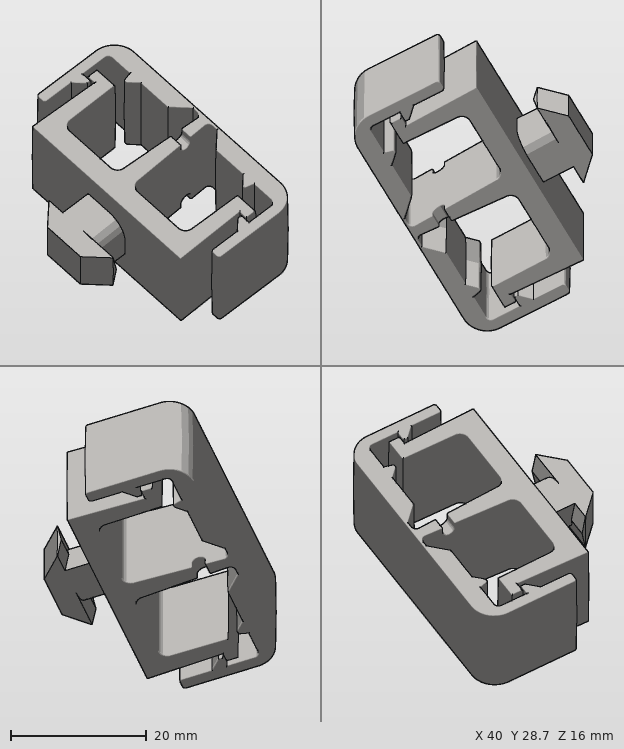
import cadquery as cq
import math

width = 40.0
body_depth = 20.2
half_height = 8.0
draft_angle = 0.5
rim_radius = 0.2

leg_outer_x = width / 2
leg_inner_x = leg_outer_x - 2.0
leg_end_y = 4.2
cap_inner_y = body_depth - 3.2
cap_outer_radius = 4.0
cap_inner_radius = 0.8
leg_end_radius = 0.5

catch_top_y = 11.95
catch_tip_x = 16.3
catch_lip = 0.8
catch_tip_y = catch_top_y - catch_lip
catch_foot_y = catch_tip_y - (leg_inner_x - catch_tip_x)

tooth_root_x = 13.65
tooth_tip_outer_x = 13.25
tooth_tip_inner_x = 12.55
tooth_height = 1.5
tooth_tip_y = cap_inner_y - tooth_height
tooth_foot_x = tooth_tip_inner_x - tooth_height
tooth_tip_radius = 0.3

relief_y = body_depth - 0.6
relief_x = 2.55
relief_foot_x = relief_x + (relief_y - cap_inner_y)

floor_y = 3.6
floor_radius = 1.4
front_corner_radius = 0.1
wall_end_y = 14.0
wall_foot_x = 16.3
wall_neck_x = 15.9
wall_inner_foot_x = 13.1
wall_inner_end_x = 13.3
hook_tip_x = 17.35
hook_y = 12.05
web_foot_x = 1.7
web_end_x = 0.95
web_end_radius = 0.8
trim_margin = 0.8

slot_width = 2.0
slot_depth = 2.0
slot_center_y = 14.9

stud_half_width = 4.0
stud_half_height = 3.5
shank_radius = 3.5
head_end_y = -8.5
head_half_width = 7.05
head_side_draft = 0.1
head_end_half_width = 3.6
head_rim_y = head_end_y + (head_half_width - head_end_half_width)
head_back_y = -4.5
overlap = 0.4


def body_outline():
    """Closed XY outline of the body; the right half is mirrored to the left."""
    wall_slope = (wall_foot_x - wall_neck_x) / hook_y
    right = [
        (wall_foot_x + wall_slope * trim_margin, -trim_margin),
        (wall_neck_x, hook_y),
        (hook_tip_x, hook_y),
        (hook_tip_x, wall_end_y),
        (wall_inner_end_x, wall_end_y),
        (wall_inner_foot_x, floor_y),
        (web_foot_x, floor_y),
        (web_end_x, relief_y),
        (relief_x, relief_y),
        (relief_foot_x, cap_inner_y),
        (tooth_foot_x, cap_inner_y),
        (tooth_tip_inner_x, tooth_tip_y),
        (tooth_tip_outer_x, tooth_tip_y),
        (tooth_root_x, cap_inner_y),
        (leg_inner_x, cap_inner_y),
        (leg_inner_x, catch_top_y),
        (catch_tip_x, catch_top_y),
        (catch_tip_x, catch_tip_y),
        (leg_inner_x, catch_foot_y),
        (leg_inner_x, leg_end_y),
        (leg_outer_x, leg_end_y),
        (leg_outer_x, body_depth),
    ]
    left = [(-x, y) for x, y in reversed(right)]
    return right + left


def flat_face(points):
    """Planar face bounded by a closed polygon."""
    return cq.Face.makeFromWires(cq.Wire.makePolygon(points, close=True))


def drafted_blank():
    """Sharp-cornered upper half: every side leans inward from the parting plane by the draft."""
    inset = half_height * math.tan(math.radians(draft_angle))
    lower = [cq.Vector(x, y) for x, y in body_outline()]
    inset_wire = cq.Wire.makePolygon(lower, close=True).offset2D(-inset, "intersection")[0]
    upper = [cq.Vector(v.X, v.Y, half_height) for v in inset_wire.Vertices()]
    faces = [flat_face(lower), flat_face(upper)]
    for i in range(len(lower)):
        faces.append(flat_face([lower[i - 1], lower[i], upper[i], upper[i - 1]]))
    return cq.Solid.makeSolid(cq.Shell.makeShell(faces))


def round_corners(solid, radius, corners):
    """Round the upright edges at the given XY corners and at their mirror images."""
    reach = 0.2
    for x, y in corners:
        for side in (-1, 1):
            box = cq.selectors.BoxSelector(
                (side * x - reach, y - reach, 0),
                (side * x + reach, y + reach, half_height),
            )
            solid = solid.edges(box).edges("not #Z").fillet(radius)
    return solid


def web_slot():
    """Round-bottomed slot cutter crossing the web along X, open at the top."""
    radius = slot_width / 2
    bottom = half_height - slot_depth
    return (
        cq.Workplane("YZ")
        .moveTo(slot_center_y - radius, half_height + overlap)
        .lineTo(slot_center_y - radius, bottom + radius)
        .tangentArcPoint((slot_center_y, bottom), relative=False)
        .tangentArcPoint((slot_center_y + radius, bottom + radius), relative=False)
        .lineTo(slot_center_y + radius, half_height + overlap)
        .close()
        .extrude(web_foot_x * 2, both=True)
    )


def upper_body():
    """Upper half of the body, drafted from the parting plane, with rounded rims."""
    half = cq.Workplane(drafted_blank())
    half = round_corners(half, cap_outer_radius, [(leg_outer_x, body_depth)])
    half = round_corners(half, cap_inner_radius, [(leg_inner_x, cap_inner_y)])
    half = round_corners(half, leg_end_radius, [(leg_inner_x, leg_end_y), (leg_outer_x, leg_end_y)])
    half = round_corners(
        half, tooth_tip_radius, [(tooth_tip_inner_x, tooth_tip_y), (tooth_tip_outer_x, tooth_tip_y)]
    )
    half = round_corners(half, floor_radius, [(wall_inner_foot_x, floor_y), (web_foot_x, floor_y)])
    half = round_corners(half, web_end_radius, [(web_end_x, relief_y)])

    front_trim = cq.Workplane("XY").box(
        2 * width, 2 * trim_margin, 2 * half_height, centered=(True, False, False)
    ).translate((0, -2 * trim_margin, 0))
    half = half.cut(front_trim)
    half = round_corners(half, front_corner_radius, [(wall_foot_x, 0)])
    half = half.cut(web_slot())

    slot_zone = cq.selectors.BoxSelector(
        (-web_foot_x, slot_center_y - slot_width, half_height - slot_depth - overlap),
        (web_foot_x, slot_center_y + slot_width, half_height - overlap),
    )
    slot_rims = half.edges(slot_zone).edges("not |X")
    return half.faces(">Z").edges().add(slot_rims).fillet(rim_radius)


def stud_shank():
    """Quarter-turn shank: two diagonally opposite edges are rounded."""
    shank = cq.Workplane("XY").box(
        2 * stud_half_width, overlap - head_rim_y, 2 * stud_half_height
    ).translate((0, (overlap + head_rim_y) / 2, 0))
    for corner in (">X and >Z", "<X and <Z"):
        shank = shank.edges("|Y").edges(corner).fillet(shank_radius)
    return shank


def stud_head():
    """Common part of the head's three silhouettes."""
    tapered_front = [
        (head_end_half_width, head_end_y),
        (head_half_width, head_rim_y),
        (head_half_width, 0),
        (-head_half_width, 0),
        (-head_half_width, head_rim_y),
        (-head_end_half_width, head_end_y),
    ]
    crested_back = [
        (head_end_y, stud_half_height),
        (head_rim_y, stud_half_height),
        (head_back_y, 0),
        (head_rim_y, -stud_half_height),
        (head_end_y, -stud_half_height),
    ]
    narrow = head_half_width - head_side_draft
    drafted_sides = [
        (head_half_width, 0),
        (narrow, stud_half_height),
        (-narrow, stud_half_height),
        (-head_half_width, 0),
        (-narrow, -stud_half_height),
        (narrow, -stud_half_height),
    ]
    from_top = cq.Workplane("XY").polyline(tapered_front).close().extrude(half_height, both=True)
    from_side = cq.Workplane("YZ").polyline(crested_back).close().extrude(width, both=True)
    from_front = cq.Workplane("XZ").polyline(drafted_sides).close().extrude(width, both=True)
    return from_top.intersect(from_side).intersect(from_front)


upper_half = upper_body()
body = upper_half.union(upper_half.mirror("XY"))
result = body.union(stud_shank()).union(stud_head())